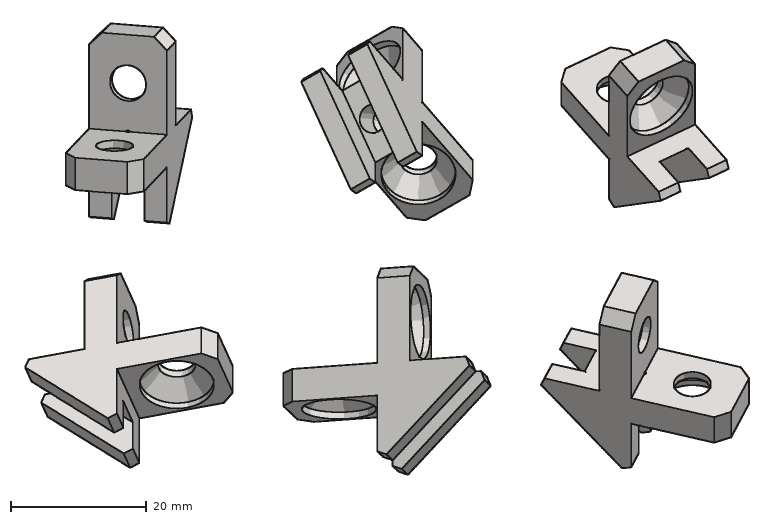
import cadquery as cq
import math

longest_side = 29.17
width = 12.0
plate_length = 15.0
plate_thickness = 5.02
corner_chamfer = 1.98
fin_gap = 5.05
gap_start = 8.52
tip_height = 1.43
tip_bevel = tip_height * math.tan(math.radians(22.5))
fin_reach = longest_side - plate_length

hole_diameter = 5.5
hole_distance = 7.5
sink_diameter = 2 * hole_diameter
straight_depth = 1.23
cone_depth = (sink_diameter - hole_diameter) / 2

pilot_diameter = 4.23
pilot_half_angle = 59.0
pilot_breakthrough = 0.23


def make_plate():
    """Horizontal plate with its outer corners cut off."""
    return (
        cq.Workplane("XY")
        .box(width, plate_length, plate_thickness, centered=(True, False, False))
        .translate((0, -plate_length, -plate_thickness))
        .edges("|Z and <Y")
        .chamfer(corner_chamfer)
    )


def make_fins():
    """Triangular body behind the corner, split into two fins by a diagonal gap."""
    body = (
        cq.Workplane("YZ")
        .polyline([
            (0, 0),
            (fin_reach - tip_bevel, 0),
            (fin_reach, -tip_height),
            (tip_height, -fin_reach),
            (0, -fin_reach + tip_bevel),
        ])
        .close()
        .extrude(width / 2, both=True)
    )
    gap = (
        cq.Workplane("YZ")
        .polyline([(gap_start, 0), (longest_side, 0), (longest_side, -longest_side),
                   (0, -longest_side), (0, -gap_start)])
        .close()
        .extrude(fin_gap / 2, both=True)
    )
    return body.cut(gap)


def make_hole():
    """Stepped bore of the horizontal plate, widening towards its underside."""
    profile = [
        (0, 0),
        (hole_diameter / 2, 0),
        (hole_diameter / 2, -straight_depth),
        (sink_diameter / 2, -straight_depth - cone_depth),
        (sink_diameter / 2, -plate_thickness),
        (0, -plate_thickness),
    ]
    bore = cq.Workplane("XZ").polyline(profile).close().revolve(360, (0, 0), (0, 1))
    return bore.translate((0, -hole_distance, 0))


def make_pilot():
    """Diagonal blind hole from the gap floor, its point just breaking the corner."""
    radius = pilot_diameter / 2
    shoulder = pilot_breakthrough - radius / math.tan(math.radians(pilot_half_angle))
    drill = (
        cq.Workplane("XZ")
        .polyline([(0, pilot_breakthrough), (radius, shoulder), (radius, -gap_start), (0, -gap_start)])
        .close()
        .revolve(360, (0, 0), (0, 1))
    )
    return drill.rotate((0, 0, 0), (1, 0, 0), 45)


def mirror_to_upright(shape):
    """Reflect a horizontal-plate shape in the plane Y = -Z."""
    return shape.mirror("XY").rotate((0, 0, 0), (1, 0, 0), -90)


plate = make_plate()
hole = make_hole()
result = make_fins().union(plate).union(mirror_to_upright(plate))
result = result.cut(hole).cut(mirror_to_upright(hole)).cut(make_pilot())